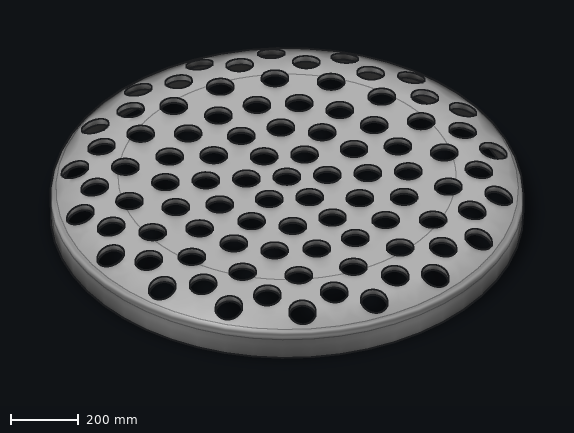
import cadquery as cq
import math

outer_radius = 700.0
height = 140.0
inner_radius = 1360.0 / 2
wall = outer_radius - inner_radius

crown_radius = 500.0
shoulder_arc_radius = 400.0
rim_arc_radius = 30.0

hole_diameter = 80.0
crown_ring_count = 4
crown_outer_ring_radius = 480.0
crown_ring_pitch = crown_outer_ring_radius / crown_ring_count
shoulder_inner_ring_radius = 570.0
shoulder_outer_ring_radius = 630.0
outer_ring_holes = 18
half_step = 180.0 / outer_ring_holes

hole_rings = [
    (crown_ring_pitch, 6, 0),
    (2 * crown_ring_pitch, 12, 0),
    (3 * crown_ring_pitch, outer_ring_holes, 0),
    (crown_outer_ring_radius, outer_ring_holes, half_step),
    (shoulder_inner_ring_radius, outer_ring_holes, 0),
    (shoulder_outer_ring_radius, outer_ring_holes, half_step),
]

shoulder_center = (crown_radius, height - shoulder_arc_radius)
rim_center_x = outer_radius - rim_arc_radius
center_distance = shoulder_arc_radius - rim_arc_radius
center_run = rim_center_x - crown_radius
center_rise = math.sqrt(center_distance**2 - center_run**2)
rim_center = (rim_center_x, shoulder_center[1] + center_rise)
tangent_angle = math.atan2(center_rise, center_run)


def arc_point(center, radius, angle):
    return (center[0] + radius * math.cos(angle), center[1] + radius * math.sin(angle))


def domed_body(inset):
    """Solid of revolution whose top and side lie a constant inset inside the outer skin."""
    shoulder_radius = shoulder_arc_radius - inset
    rim_radius = rim_arc_radius - inset
    shoulder_middle = (math.pi / 2 + tangent_angle) / 2
    return (
        cq.Workplane("XZ")
        .lineTo(outer_radius - inset, 0)
        .lineTo(outer_radius - inset, rim_center[1])
        .threePointArc(
            arc_point(rim_center, rim_radius, tangent_angle / 2),
            arc_point(rim_center, rim_radius, tangent_angle),
        )
        .threePointArc(
            arc_point(shoulder_center, shoulder_radius, shoulder_middle),
            (crown_radius, height - inset),
        )
        .lineTo(0, height - inset)
        .close()
        .revolve(360, (0, 0), (0, 1))
    )


def hole_cutters():
    """Vertical cylinders for the centre hole and all concentric rings."""
    cutters = cq.Workplane("XY").circle(hole_diameter / 2).extrude(height)
    for radius, count, start_angle in hole_rings:
        ring = (
            cq.Workplane("XY")
            .polarArray(radius, start_angle, 360, count)
            .circle(hole_diameter / 2)
            .extrude(height)
        )
        cutters = cutters.add(ring)
    return cutters.combine(glue=True)


shell = domed_body(0).cut(domed_body(wall))
result = shell.cut(hole_cutters())